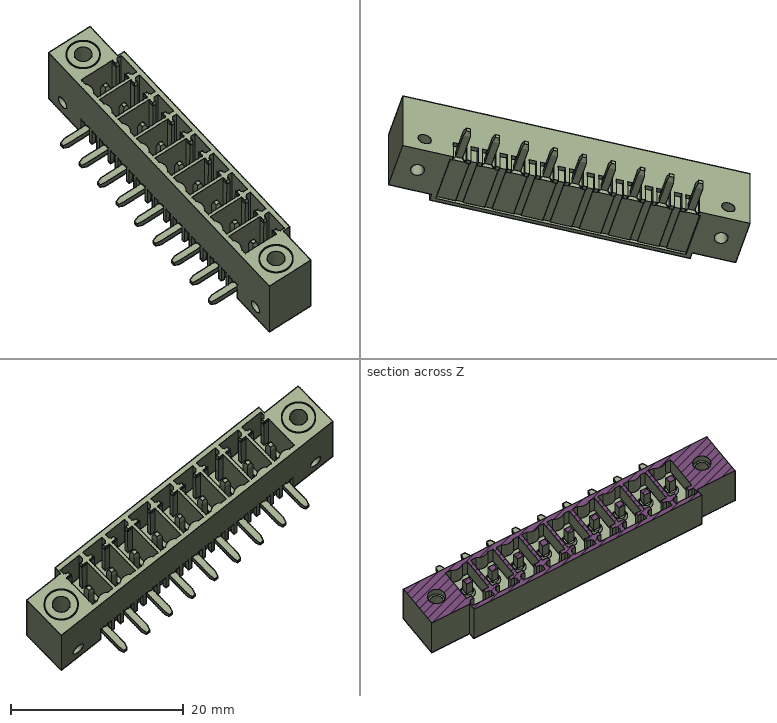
import cadquery as cq

LENGTH = 41.9
HEIGHT = 9.2
EAR_DEPTH = 6.08
ROW_LENGTH = 31.42
ROW_DEPTH = 7.05
REAR_BOTTOM_CHAMFER = 0.13
RIDGE_HEIGHT = 0.2
RIDGE_HALF_WIDTH = 0.13
RIDGE_Z = 5.95

CONTACT_COUNT = 9
CONTACT_SPAN = 28.05
PITCH = CONTACT_SPAN / (CONTACT_COUNT - 1)
CONTACT_Y = 3.0
CONTACT_WIDTH = 0.85
CONTACT_TOP_Z = 7.85
LEAD_Z = 1.2
LEAD_LENGTH = 3.4
TIP_LENGTH = 0.63
TIP_WIDTH = 0.5
COLLAR_BASE_DIAMETER = 1.8
COLLAR_TOP_DIAMETER = 1.4
COLLAR_HEIGHT = 0.35

SOCKET_FLOOR_Z = 3.35
SOCKET_DRAFT_ANGLE = 0.7
SOCKET_FRONT_Y = 0.63
SOCKET_HALF_WIDTH = 1.55
NECK_FRONT_Y = 5.15
NECK_REAR_Y = 5.6
NECK_HALF_WIDTH = 0.8
KEYWAY_REAR_Y = 6.4
KEYWAY_HALF_WIDTH = 1.45
KEYWAY_CHAMFER = 0.2
BUMP_HALF_WIDTH = 0.8
BUMP_HEIGHT = 0.3
TAB_END_CHAMFER = 0.15
TAB_FRONT_CHAMFER = 0.05
TAB_CHAMFER_HEIGHT = 0.5

EAR_HOLE_X = 18.3
EAR_HOLE_DIAMETER = 1.6
EAR_BORE_DIAMETER = 2.05
EAR_BORE_DEPTH = 4.6
PEG_HOLE_Z = 2.1
RING_OUTER_DIAMETER = 4.0
RING_INNER_DIAMETER = 3.8
RING_DEPTH = 0.1

SLOT_HEIGHT = 2.65
SLOT_DEPTH = 0.5
LEAD_SLOT_WIDTH = 1.65
LEAD_SLOT_LIP_WIDTH = 0.6
LEAD_SLOT_LIP_HEIGHT = 0.25
GAP_SLOT_WIDTH = 0.9
GAP_CHANNEL_HEIGHT = 0.5
UNDERSIDE_RECESS_HEIGHT = 0.38
UNDERSIDE_RECESS_LENGTH = 30.15
UNDERSIDE_RECESS_REAR_Y = 6.5
FUNNEL_WIDTH = 1.45
FUNNEL_DEPTH = 0.2
FUNNEL_TOP_DEPTH = 0.05

contact_xs = [i * PITCH - CONTACT_SPAN / 2 for i in range(CONTACT_COUNT)]
gap_xs = [x + PITCH / 2 for x in contact_xs[:-1]]


def box(width, y_range, z_range, x=0):
    """Block centred on x, between the given Y and Z limits."""
    y0, y1 = y_range
    z0, z1 = z_range
    return cq.Workplane("XY").box(width, y1 - y0, z1 - z0).translate((x, (y0 + y1) / 2, (z0 + z1) / 2))


def make_housing():
    """Ears and contact row, with a thin pointed ridge along the rear wall."""
    ears = box(LENGTH, (0, EAR_DEPTH), (0, HEIGHT))
    row_profile = [
        (0, 0),
        (ROW_DEPTH - REAR_BOTTOM_CHAMFER, 0),
        (ROW_DEPTH, REAR_BOTTOM_CHAMFER),
        (ROW_DEPTH, RIDGE_Z - RIDGE_HALF_WIDTH),
        (ROW_DEPTH + RIDGE_HEIGHT, RIDGE_Z),
        (ROW_DEPTH, RIDGE_Z + RIDGE_HALF_WIDTH),
        (ROW_DEPTH, HEIGHT),
        (0, HEIGHT),
    ]
    row = cq.Workplane("YZ").polyline(row_profile).close().extrude(ROW_LENGTH / 2, both=True)
    return ears.union(row)


def make_ear_cut(x):
    """Stepped vertical bore, the peg hole that meets it, and a ring groove around the bore."""
    top = cq.Workplane("XY", origin=(x, CONTACT_Y, HEIGHT))
    hole = top.circle(EAR_HOLE_DIAMETER / 2).extrude(-HEIGHT)
    bore = top.circle(EAR_BORE_DIAMETER / 2).extrude(-EAR_BORE_DEPTH)
    peg_hole = cq.Workplane("XZ", origin=(x, 0, PEG_HOLE_Z)).circle(EAR_HOLE_DIAMETER / 2).extrude(-CONTACT_Y)
    ring = top.circle(RING_OUTER_DIAMETER / 2).circle(RING_INNER_DIAMETER / 2).extrude(-RING_DEPTH)
    return hole.union(bore).union(peg_hole).union(ring)


def make_socket():
    """Drafted socket at X = 0 with a rounded bump left on its front wall and a keyway at the rear."""
    main = (
        cq.Workplane("XY", origin=(0, 0, HEIGHT))
        .moveTo(-BUMP_HALF_WIDTH, SOCKET_FRONT_Y)
        .threePointArc((0, SOCKET_FRONT_Y + BUMP_HEIGHT), (BUMP_HALF_WIDTH, SOCKET_FRONT_Y))
        .lineTo(SOCKET_HALF_WIDTH, SOCKET_FRONT_Y)
        .lineTo(SOCKET_HALF_WIDTH, NECK_FRONT_Y)
        .lineTo(-SOCKET_HALF_WIDTH, NECK_FRONT_Y)
        .lineTo(-SOCKET_HALF_WIDTH, SOCKET_FRONT_Y)
        .close()
        .extrude(SOCKET_FLOOR_Z - HEIGHT, taper=SOCKET_DRAFT_ANGLE)
    )
    neck = box(2 * NECK_HALF_WIDTH, (CONTACT_Y, KEYWAY_REAR_Y), (SOCKET_FLOOR_Z, HEIGHT))
    keyway = (
        box(2 * KEYWAY_HALF_WIDTH, (NECK_REAR_Y, KEYWAY_REAR_Y), (SOCKET_FLOOR_Z, HEIGHT))
        .edges("|Z and <Y")
        .chamfer(KEYWAY_CHAMFER)
    )
    return main.union(neck).union(keyway).union(make_tab_lead_in())


def make_tab_lead_in():
    """Sloped cuts on the ends and front faces of the two tabs that narrow the socket's neck."""
    end = NECK_HALF_WIDTH + TAB_END_CHAMFER
    bottom_z = HEIGHT - TAB_CHAMFER_HEIGHT
    ends = (
        cq.Workplane("XZ", origin=(0, NECK_FRONT_Y, 0))
        .polyline([(-end, HEIGHT), (end, HEIGHT), (NECK_HALF_WIDTH, bottom_z), (-NECK_HALF_WIDTH, bottom_z)])
        .close()
        .extrude(NECK_FRONT_Y - NECK_REAR_Y)
    )
    front_top_y = NECK_FRONT_Y + TAB_FRONT_CHAMFER
    front = (
        cq.Workplane("YZ")
        .polyline([(NECK_FRONT_Y, HEIGHT), (front_top_y, HEIGHT), (NECK_FRONT_Y, bottom_z)])
        .close()
        .extrude(SOCKET_HALF_WIDTH, both=True)
    )
    return ends.union(front)


def make_lead_slot():
    """Opening at X = 0 for a lead: a lip hangs from its top and a funnel flares below the lead."""
    half = LEAD_SLOT_WIDTH / 2
    lip = LEAD_SLOT_LIP_WIDTH / 2
    lip_z = SLOT_HEIGHT - LEAD_SLOT_LIP_HEIGHT
    opening = (
        cq.Workplane("XZ")
        .polyline([(-half, 0), (half, 0), (half, SLOT_HEIGHT), (lip, SLOT_HEIGHT), (lip / 2, lip_z),
                   (-lip / 2, lip_z), (-lip, SLOT_HEIGHT), (-half, SLOT_HEIGHT)])
        .close()
        .extrude(-SLOT_DEPTH)
    )
    funnel_height = LEAD_Z - CONTACT_WIDTH / 2 - UNDERSIDE_RECESS_HEIGHT
    funnel = (
        cq.Workplane("XY", origin=(0, SLOT_DEPTH, UNDERSIDE_RECESS_HEIGHT))
        .rect(FUNNEL_WIDTH, 2 * FUNNEL_DEPTH)
        .workplane(offset=funnel_height)
        .rect(CONTACT_WIDTH, 2 * FUNNEL_TOP_DEPTH)
        .loft()
    )
    return opening.union(funnel)


def make_gap_slot():
    """Relief opening at X = 0 between two leads, with a channel running back under the housing."""
    opening = box(GAP_SLOT_WIDTH, (0, SLOT_DEPTH), (0, SLOT_HEIGHT))
    channel = box(GAP_SLOT_WIDTH, (0, UNDERSIDE_RECESS_REAR_Y), (0, GAP_CHANNEL_HEIGHT))
    return opening.union(channel)


def make_bar(plane, origin, length):
    """Square contact bar along the plane's normal, ending in a tapered tip."""
    shank_length = length - TIP_LENGTH
    start = cq.Workplane(plane, origin=origin)
    shank = start.rect(CONTACT_WIDTH, CONTACT_WIDTH).extrude(shank_length)
    tip = (
        start.workplane(offset=shank_length)
        .rect(CONTACT_WIDTH, CONTACT_WIDTH)
        .workplane(offset=TIP_LENGTH)
        .rect(TIP_WIDTH, TIP_WIDTH)
        .loft()
    )
    return shank.union(tip)


def make_contact():
    """Right-angled contact at X = 0 with a conical collar on the socket floor."""
    corner = (0, CONTACT_Y, LEAD_Z)
    post = make_bar("XY", corner, CONTACT_TOP_Z - LEAD_Z)
    lead = make_bar("XZ", corner, CONTACT_Y + LEAD_LENGTH)
    collar = (
        cq.Workplane("XY", origin=(0, CONTACT_Y, SOCKET_FLOOR_Z))
        .circle(COLLAR_BASE_DIAMETER / 2)
        .workplane(offset=COLLAR_HEIGHT)
        .circle(COLLAR_TOP_DIAMETER / 2)
        .loft()
    )
    return post.union(lead).union(collar)


result = make_housing()
result = result.cut(
    box(UNDERSIDE_RECESS_LENGTH, (SLOT_DEPTH, UNDERSIDE_RECESS_REAR_Y), (0, UNDERSIDE_RECESS_HEIGHT))
)
for side in (-1, 1):
    result = result.cut(make_ear_cut(side * EAR_HOLE_X))

socket = make_socket()
lead_slot = make_lead_slot()
gap_slot = make_gap_slot()
contact = make_contact()
for x in contact_xs:
    result = result.cut(socket.translate((x, 0, 0))).cut(lead_slot.translate((x, 0, 0)))
for x in gap_xs:
    result = result.cut(gap_slot.translate((x, 0, 0)))
for x in contact_xs:
    result = result.union(contact.translate((x, 0, 0)))